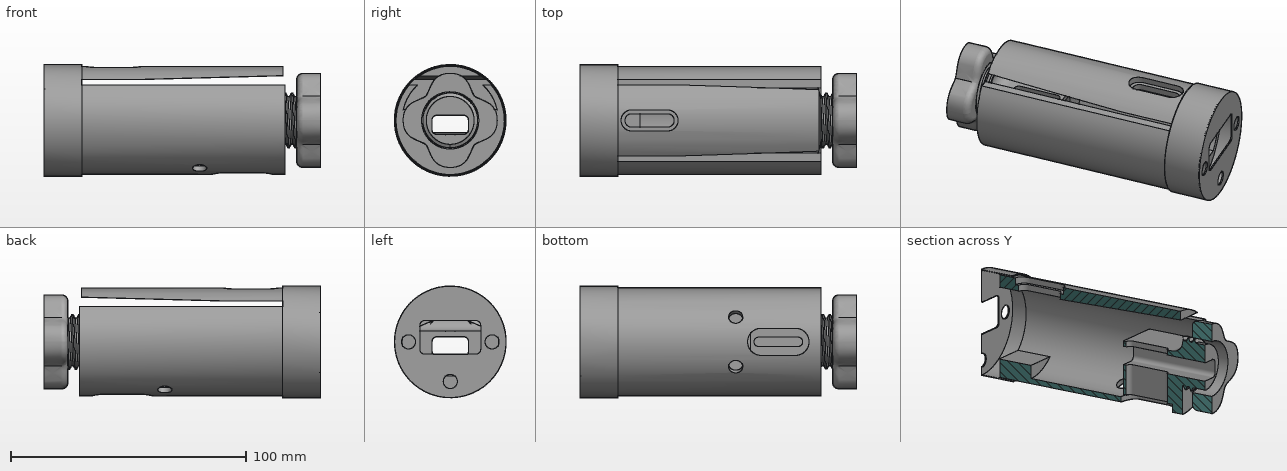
import cadquery as cq
import math


cap_diameter = 47.5
cap_length = 16.1
cap_recess_diameter = 46.5
cap_plate = 0.6
opening_width = 25.9
opening_bottom = -5.2
opening_top = 9.1
opening_corner = 2.0
cap_hole_diameter = 6.0
cap_hole_offset_side = 17.8
cap_hole_offset_bottom = 16.8

tube_diameter = 46.0
tube_start = 9.3
bore_diameter = 41.0
tube_radius = tube_diameter / 2

cradle_end = 102.6
cradle_top = 15.1
sill_top = -14.6
sill_end = 25.5
block_start = 72.5
block_top = 4.6
scoop_radius = 5.2
lip_peak = 12.4
lip_foot = 17.6
window_width = 15.4
window_bottom = -6.0
window_top = 2.1
window_corner = 2.0
side_hole_diameter = 6.0
side_hole_x = 66.2
side_hole_angle = 62.5
bottom_slot_start = 71.3
bottom_slot_end = 97.4
bottom_slot_width = 11.5
bottom_slot_ledge = -19.4
bottom_slot_rim = 2.7
bottom_slot_inner_width = 4.0

leaf_end = 101.7
leaf_bottom = 17.3
taper_start = 40.0
taper_rise = 1.6
leaf_slot_start = 17.5
leaf_slot_end = 41.8
leaf_slot_width = 9.0
leaf_slot_ledge = 20.0
leaf_slot_rim = 1.6

root_diameter = 20.4
crest_diameter = 23.3
stub_end = 114.1
thread_pitch = 3.0
thread_start = 101.1
thread_turns = 3
thread_base_width = 2.4
thread_crest_width = 0.6
thread_sink = 0.2

knob_start = 107.4
knob_end = 117.7
knob_bore_diameter = 24.4
knob_tip_radius = 20.0
knob_valley_radius = 14.6
knob_flank_radius = 16.0
knob_flank_angle = 33.5
lobe_count = 4
knob_edge_radius = 2.7


def rod(start, end, diameter):
    """Cylinder along X."""
    return cq.Workplane("YZ", origin=(start, 0, 0)).circle(diameter / 2).extrude(end - start)


def block(start, end, width, bottom, top):
    """Box along X, centred on y = 0."""
    box = cq.Workplane("XY").box(end - start, width, top - bottom, centered=(False, True, False))
    return box.translate((start, 0, bottom))


def upright_slot(start, end, width, bottom, top):
    """Round-ended slot along X, cut in the Z direction."""
    middle = (start + end) / 2
    slot = cq.Workplane("XY", origin=(middle, 0, bottom)).slot2D(end - start, width)
    return slot.extrude(top - bottom)


def make_cap():
    cap = rod(0, cap_length, cap_diameter).cut(rod(cap_plate, cap_length, cap_recess_diameter))
    opening = block(0, cap_plate, opening_width, opening_bottom, opening_top)
    cap = cap.cut(opening.edges("|X").fillet(opening_corner))
    hole_places = [
        (-cap_hole_offset_side, 0),
        (cap_hole_offset_side, 0),
        (0, -cap_hole_offset_bottom),
    ]
    for y, z in hole_places:
        cap = cap.cut(rod(0, cap_plate, cap_hole_diameter).translate((0, y, z)))
    return cap


def make_scooped_block():
    """Cross wall whose top curves up to a thin lip at the threaded end."""
    scoop_start = cradle_end - scoop_radius
    arc_middle = scoop_radius * math.sqrt(0.5)
    profile = (
        cq.Workplane("XZ", origin=(0, tube_radius, 0))
        .moveTo(block_start, -tube_radius)
        .lineTo(block_start, block_top)
        .lineTo(scoop_start, block_top)
        .threePointArc(
            (scoop_start + arc_middle, block_top + scoop_radius - arc_middle),
            (cradle_end, block_top + scoop_radius),
        )
        .lineTo(cradle_end, -tube_radius)
        .close()
    )
    scooped = profile.extrude(tube_diameter)

    above_lip = (
        cq.Workplane("YZ", origin=(scoop_start, 0, 0))
        .polyline(
            [
                (0, lip_peak),
                (lip_foot, block_top),
                (tube_radius, block_top),
                (tube_radius, tube_radius),
                (-tube_radius, tube_radius),
                (-tube_radius, block_top),
                (-lip_foot, block_top),
            ]
        )
        .close()
        .extrude(scoop_radius)
    )
    return scooped.cut(above_lip)


def make_thread():
    """Right-hand ridge that starts at -Z inside the cross wall, trimmed to the free stub."""
    root = root_diameter / 2
    length = thread_pitch * thread_turns
    path = cq.Workplane(obj=cq.Wire.makeHelix(thread_pitch, length, root))
    ridge = (
        cq.Workplane("XZ")
        .polyline(
            [
                (root - thread_sink, -thread_base_width / 2),
                (crest_diameter / 2, -thread_crest_width / 2),
                (crest_diameter / 2, thread_crest_width / 2),
                (root - thread_sink, thread_base_width / 2),
            ]
        )
        .close()
        .sweep(path, isFrenet=True)
    )
    ridge = ridge.rotate((0, 0, 0), (1, 0, 1), 180).rotate((0, 0, 0), (1, 0, 0), 180)
    ridge = ridge.translate((thread_start, 0, 0))
    return ridge.intersect(rod(cradle_end, stub_end, cap_diameter))


def make_side_hole(side):
    """Radial hole through the lower wall on the given Y side."""
    centre = cq.Workplane("XY", origin=(side_hole_x, 0, 0))
    hole = centre.circle(side_hole_diameter / 2).extrude(-tube_radius)
    lean = side * (90 - side_hole_angle)
    return hole.rotate((0, 0, 0), (1, 0, 0), lean)


def make_cradle():
    outside = rod(tube_start, cradle_end, tube_diameter)
    lower = block(tube_start, cradle_end, tube_diameter, -tube_radius, cradle_top)
    sill = block(tube_start, sill_end, tube_diameter, -tube_radius, sill_top)
    cradle = outside.intersect(lower).cut(rod(tube_start, cradle_end, bore_diameter))
    cradle = cradle.union(outside.intersect(sill)).union(outside.intersect(make_scooped_block()))
    cradle = cradle.union(rod(cradle_end, stub_end, root_diameter)).union(make_thread())

    window = block(block_start, stub_end, window_width, window_bottom, window_top)
    cradle = cradle.cut(window.edges("|X").fillet(window_corner))
    for side in (-1, 1):
        cradle = cradle.cut(make_side_hole(side))

    recess = upright_slot(
        bottom_slot_start, bottom_slot_end, bottom_slot_width, -tube_radius, bottom_slot_ledge
    )
    through = upright_slot(
        bottom_slot_start + bottom_slot_rim,
        bottom_slot_end - bottom_slot_rim,
        bottom_slot_inner_width,
        -tube_radius,
        block_top,
    )
    return cradle.cut(recess).cut(through)


def make_leaf():
    side_profile = (
        cq.Workplane("XZ", origin=(0, tube_radius, 0))
        .polyline(
            [
                (tube_start, leaf_bottom),
                (taper_start, leaf_bottom),
                (leaf_end, leaf_bottom + taper_rise),
                (leaf_end, tube_radius),
                (tube_start, tube_radius),
            ]
        )
        .close()
        .extrude(tube_diameter)
    )
    leaf = rod(tube_start, leaf_end, tube_diameter).intersect(side_profile)
    recess = upright_slot(leaf_slot_start, leaf_slot_end, leaf_slot_width, leaf_slot_ledge, tube_radius)
    through = upright_slot(
        leaf_slot_start + leaf_slot_rim,
        leaf_slot_end - leaf_slot_rim,
        leaf_slot_width - 2 * leaf_slot_rim,
        leaf_bottom,
        tube_radius,
    )
    return leaf.cut(recess).cut(through)


def polar(radius, angle):
    """Point in the YZ plane at an angle from +Y, in degrees."""
    return (radius * math.cos(math.radians(angle)), radius * math.sin(math.radians(angle)))


def make_knob():
    """Wavy knob whose outline runs square to the radius at every tip and valley."""
    half_step = 180 / lobe_count
    outline = cq.Workplane("YZ", origin=(knob_start, 0, 0)).moveTo(knob_tip_radius, 0)
    for index in range(lobe_count):
        tip = 2 * half_step * index
        valley = tip + half_step
        next_tip = valley + half_step
        directions = [polar(1, angle + 90) for angle in (tip, valley, next_tip)]
        outline = outline.spline(
            [polar(knob_flank_radius, tip + knob_flank_angle), polar(knob_valley_radius, valley)],
            tangents=directions[:2],
            includeCurrent=True,
        )
        outline = outline.spline(
            [polar(knob_flank_radius, next_tip - knob_flank_angle), polar(knob_tip_radius, next_tip)],
            tangents=directions[1:],
            includeCurrent=True,
        )
    knob = outline.close().extrude(knob_end - knob_start)
    knob = knob.faces("<X").edges().fillet(knob_edge_radius)
    return knob.cut(rod(knob_start, knob_end, knob_bore_diameter))


cap = make_cap()
cradle = make_cradle()
leaf = make_leaf()
knob = make_knob()

result = cq.Compound.makeCompound([cap.val(), cradle.val(), leaf.val(), knob.val()])